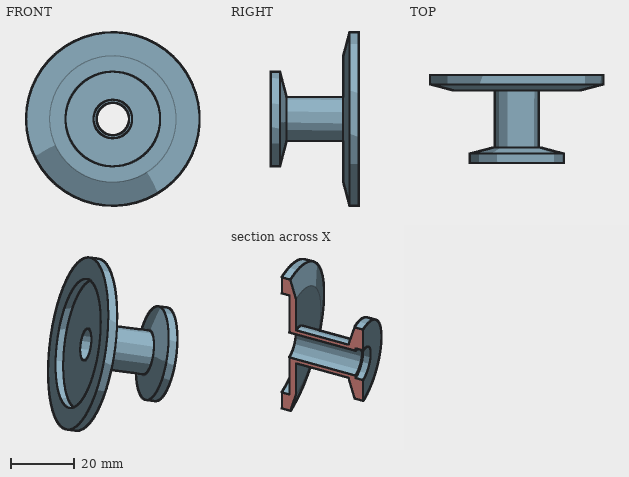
import cadquery as cq

length = 28.0
large_flange_diameter = 55.0
small_flange_diameter = 30.0
tube_diameter = 14.0
bore_diameter = 10.2

rim_thickness = 3.0
cone_height = 2.0
cone_radial_width = 7.5

small_recess_diameter = 12.2
large_recess_diameter = 41.2
recess_depth = 2.6


def make_disc(diameter, height):
    """Plain cylinder standing on the small sealing face, along +Y."""
    return cq.Workplane("XZ").circle(diameter / 2).extrude(-height)


def make_flange(diameter):
    """Rim with a conical back, sealing face at Y = 0 and cone toward +Y."""
    rim_radius = diameter / 2
    cone_end = rim_thickness + cone_height
    profile = [
        (0, 0),
        (rim_radius, 0),
        (rim_radius, rim_thickness),
        (rim_radius - cone_radial_width, cone_end),
        (0, cone_end),
    ]
    return cq.Workplane("XY").polyline(profile).close().revolve(360, (0, 0, 0), (0, 1, 0))


def move_to_far_end(body):
    """Turn a body around so its sealing face lies at Y = length."""
    return body.rotate((0, 0, 0), (0, 0, 1), 180).translate((0, length, 0))


body = make_disc(tube_diameter, length)
body = body.union(make_flange(small_flange_diameter))
body = body.union(move_to_far_end(make_flange(large_flange_diameter)))

body = body.cut(make_disc(bore_diameter, length))
body = body.cut(make_disc(small_recess_diameter, recess_depth))
body = body.cut(move_to_far_end(make_disc(large_recess_diameter, recess_depth)))

result = body.translate((0, -length / 2, 0))